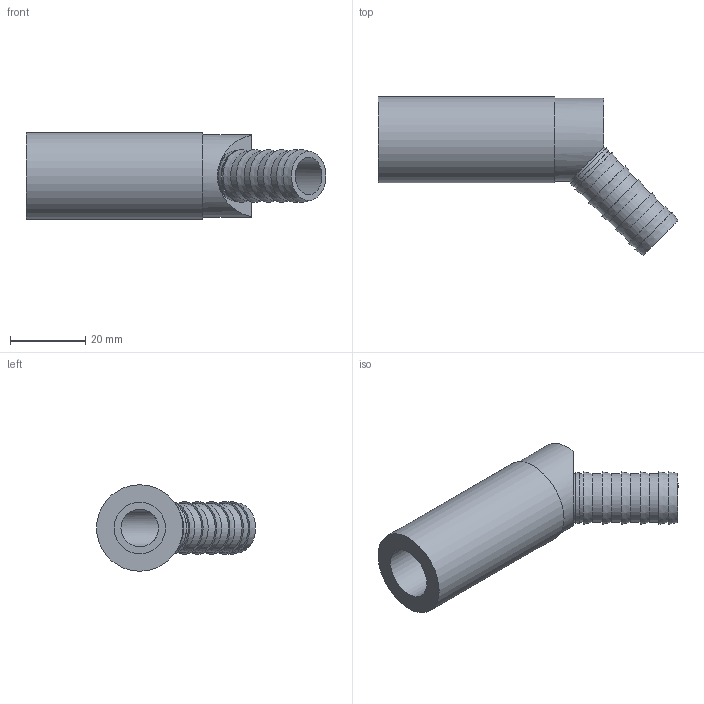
import cadquery as cq
import math

barrel_diameter = 23.0
barrel_length = 47.0
nose_diameter = 22.0
body_length = 60.0

barb_angle = 45.0
bevel_edge_y = -2.0
barb_length = 27.86
stem_diameter = 13.0
tooth_diameter = 14.0
collar_diameter = 13.5
collar_start = 0.65
collar_end = 1.65
first_tooth_start = 2.6
tooth_length = 2.4
tooth_pitch = 5.05
tooth_count = 5

socket_diameter = 13.7
socket_depth = 40.0
bore_diameter = 10.0

nose_radius = nose_diameter / 2
bevel_drop = nose_radius + bevel_edge_y
bevel_run = bevel_drop * math.tan(math.radians(90 - barb_angle))
seat_x = body_length - bevel_run / 2
seat_y = bevel_edge_y - bevel_drop / 2

axis_x = math.cos(math.radians(barb_angle))
axis_y = -math.sin(math.radians(barb_angle))
elbow_x = seat_x - seat_y * axis_x / axis_y
tip_x = seat_x + barb_length * axis_x
tip_y = seat_y + barb_length * axis_y


def cylinder_along_x(diameter, length):
    """Solid cylinder on the barrel axis, starting at the open end of the barrel."""
    return cq.Workplane("YZ").circle(diameter / 2).extrude(length)


def make_body():
    """Stepped barrel with the nose cut off at a slope."""
    body = cylinder_along_x(barrel_diameter, barrel_length)
    body = body.union(cylinder_along_x(nose_diameter, body_length))
    bevel = (
        cq.Workplane("XY")
        .moveTo(body_length, bevel_edge_y)
        .lineTo(body_length, -nose_radius)
        .lineTo(body_length - bevel_run, -nose_radius)
        .close()
        .extrude(nose_radius, both=True)
    )
    return body.cut(bevel)


def make_barb():
    """Solid hose barb revolved about its own axis, standing on the sloped seat."""
    stem = stem_diameter / 2
    tooth = tooth_diameter / 2
    collar = collar_diameter / 2
    profile = [
        (0, 0),
        (0, stem),
        (collar_start, stem),
        (collar_start, collar),
        (collar_end, collar),
        (collar_end, stem),
    ]
    for index in range(tooth_count):
        tooth_start = first_tooth_start + index * tooth_pitch
        profile.append((tooth_start, stem))
        profile.append((tooth_start, tooth))
        profile.append((tooth_start + tooth_length, stem))
    profile.append((first_tooth_start + (tooth_count - 1) * tooth_pitch + tooth_length, tooth))
    profile.append((barb_length, stem))
    profile.append((barb_length, 0))
    seat_plane = cq.Plane(origin=(seat_x, seat_y, 0), xDir=(axis_x, axis_y, 0), normal=(0, 0, 1))
    return cq.Workplane(seat_plane).polyline(profile).close().revolve(360, (0, 0, 0), (1, 0, 0))


def make_bore():
    """Mitred round passage from the open end, round the elbow and out of the tip."""
    path = cq.Workplane("XY").polyline([(0, 0), (elbow_x, 0), (tip_x, tip_y)])
    return cq.Workplane("YZ").circle(bore_diameter / 2).sweep(path, transition="right")


socket = cylinder_along_x(socket_diameter, socket_depth)
result = make_body().union(make_barb()).cut(socket).cut(make_bore())